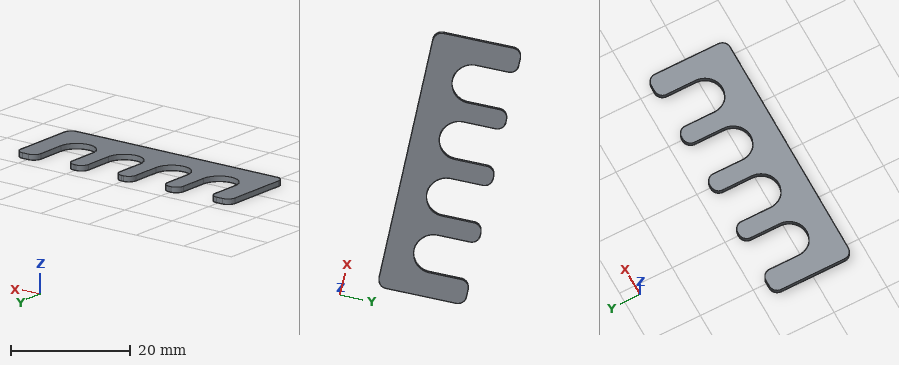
import cadquery as cq

length = 45.0
width = 15.0
thickness = 1.0
corner_radius = 1.5

slot_count = 4
slot_pitch = 10.0
slot_width = 6.6
slot_depth = 10.3
slot_radius = slot_width / 2
slot_center_y = width / 2 - slot_depth + slot_radius


def make_slot(center_x):
    """Cutter with a semicircular bottom that runs out through the +Y edge."""
    left = center_x - slot_radius
    right = center_x + slot_radius
    return (
        cq.Workplane("XY")
        .moveTo(left, width / 2)
        .lineTo(left, slot_center_y)
        .threePointArc((center_x, slot_center_y - slot_radius), (right, slot_center_y))
        .lineTo(right, width / 2)
        .close()
        .extrude(thickness)
    )


result = cq.Workplane("XY").box(length, width, thickness, centered=(True, True, False))

for index in range(slot_count):
    slot_x = (index - (slot_count - 1) / 2) * slot_pitch
    result = result.cut(make_slot(slot_x))

tip_edges = result.faces(">Y").edges("|Z").vals()
base_edges = result.faces("<Y").edges("|Z").vals()
result = result.newObject(tip_edges + base_edges).fillet(corner_radius)